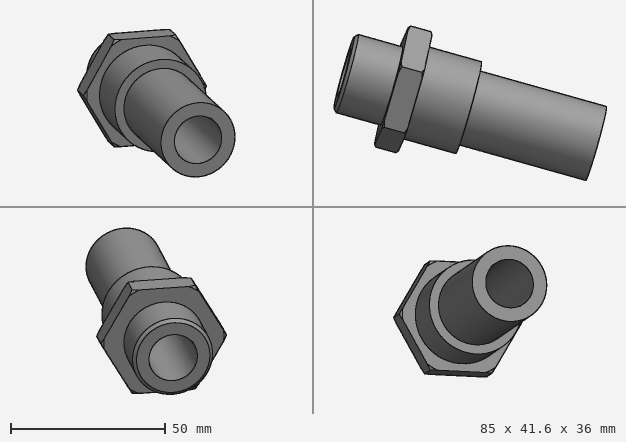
import cadquery as cq
import math

total_length = 85.0
thread_length = 16.0
hex_width = 8.0
collar_length = 18.0
tube_length = total_length - thread_length - hex_width - collar_length

thread_diameter = 26.4
collar_diameter = 31.0
tube_diameter = 25.0
bore_diameter = 16.0
hex_across_flats = 36.0
hex_across_corners = hex_across_flats / math.cos(math.pi / 6)

thread_chamfer = 1.1
corner_radial_cut = 1.0
corner_axial_cut = 0.6

hex_start = thread_length
collar_start = hex_start + hex_width
tube_start = collar_start + collar_length


def cylinder(start, length, diameter):
    """Solid cylinder along +X from the given station."""
    return cq.Workplane("YZ", origin=(start, 0, 0)).circle(diameter / 2).extrude(length)


def hex_nut():
    """Hexagon with corners on the Y axis, its corners beveled on both faces."""
    prism = (
        cq.Workplane("YZ", origin=(hex_start, 0, 0))
        .polygon(6, hex_across_corners)
        .extrude(hex_width)
    )
    corner_radius = hex_across_corners / 2
    face_radius = corner_radius - corner_radial_cut
    bevel_envelope = (
        cq.Workplane("XY")
        .moveTo(hex_start, 0)
        .lineTo(hex_start, face_radius)
        .lineTo(hex_start + corner_axial_cut, corner_radius)
        .lineTo(collar_start - corner_axial_cut, corner_radius)
        .lineTo(collar_start, face_radius)
        .lineTo(collar_start, 0)
        .close()
        .revolve(360, (0, 0, 0), (1, 0, 0))
    )
    return prism.intersect(bevel_envelope)


threaded_end = cylinder(0, thread_length, thread_diameter).faces("<X").chamfer(thread_chamfer)
collar = cylinder(collar_start, collar_length, collar_diameter)
tube = cylinder(tube_start, tube_length, tube_diameter)
bore = cylinder(0, total_length, bore_diameter)

result = threaded_end.union(hex_nut()).union(collar).union(tube).cut(bore)